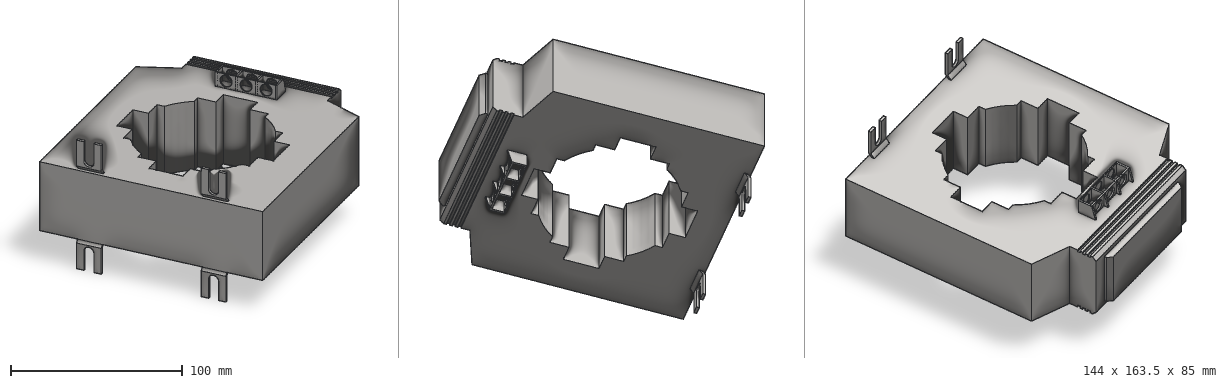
import cadquery as cq

total_width = 144.0
total_length = 163.5
total_height = 85.0

body_thickness = 45.5
half_thickness = body_thickness / 2
shoulder_start = 130.5
shoulder_end = 140.5
neck_width = 94.0
neck_end = 159.0

neck_chamfer = 2.4
groove_count = 3
groove_width = 1.8
groove_depth = 1.2
groove_pitch = 3.55
first_groove_offset = 4.15

cap_width = 76.5
cap_thickness = 35.0
cap_chamfer_x = 2.7
cap_chamfer_y = 3.0

bore_center_y = 70.5
bore_diameter = 85.0
arm_length = 101.0
arm_width = 22.0
step_length = 81.0
step_width = 45.5

terminal_width = 40.0
terminal_height = 9.5
terminal_front = 128.5
terminal_rear_top = 137.8
terminal_rear_base = shoulder_end
terminal_hole_diameter = 7.5
pole_count = 3
side_wall = 1.2
front_wall = 0.7
rear_wall = 1.2
pole_pitch = (terminal_width - side_wall) / pole_count
pocket_width = pole_pitch - side_wall

foot_spacing = 80.5
foot_width = 16.0
foot_thickness = 1.8
foot_bend_height = 2.7
foot_bend_offset = 2.4
foot_height = total_height / 2 - half_thickness
slot_width = 6.5
slot_depth = 15.9


def box_between(x_range, y_range, z_range):
    """Box spanning the given (low, high) pairs."""
    size = [high - low for low, high in (x_range, y_range, z_range)]
    corner = (x_range[0], y_range[0], z_range[0])
    return cq.Workplane("XY").box(*size, centered=False).translate(corner)


def prism_along_x(points, width, center_x=0.0):
    """Extrude a (Y, Z) outline symmetrically about X = center_x."""
    prism = cq.Workplane("YZ").polyline(points).close().extrude(width / 2, both=True)
    return prism.translate((center_x, 0, 0))


def make_body():
    """Shouldered plate carrying the narrower neck."""
    half_width = total_width / 2
    half_neck = neck_width / 2
    outline = [
        (-half_width, 0),
        (half_width, 0),
        (half_width, shoulder_start),
        (half_neck, shoulder_end),
        (half_neck, neck_end),
        (-half_neck, neck_end),
        (-half_neck, shoulder_end),
        (-half_width, shoulder_start),
    ]
    plate = cq.Workplane("XY").polyline(outline).close().extrude(half_thickness, both=True)
    return plate.faces(">Y").edges("|X").chamfer(neck_chamfer)


def make_grooves():
    """Grip grooves across the top and bottom of the neck."""
    grooves = cq.Workplane("XY")
    groove_center_z = half_thickness - groove_depth / 2
    for index in range(groove_count):
        center_y = neck_end - first_groove_offset - groove_width / 2 - index * groove_pitch
        for side in (1, -1):
            groove = cq.Workplane("XY").box(neck_width, groove_width, groove_depth)
            grooves = grooves.add(groove.translate((0, center_y, side * groove_center_z)))
    return grooves.combine()


def make_cap():
    """Raised cap with bevelled ends."""
    half_cap = cap_width / 2
    outline = [
        (-half_cap, neck_end),
        (half_cap, neck_end),
        (half_cap, total_length - cap_chamfer_y),
        (half_cap - cap_chamfer_x, total_length),
        (-half_cap + cap_chamfer_x, total_length),
        (-half_cap, total_length - cap_chamfer_y),
    ]
    return cq.Workplane("XY").polyline(outline).close().extrude(cap_thickness / 2, both=True)


def make_bore():
    """Round bore, flattened on four sides, merged with crossed busbar openings."""
    bore = cq.Workplane("XY").circle(bore_diameter / 2).extrude(half_thickness, both=True)
    bore = bore.intersect(cq.Workplane("XY").box(step_length, step_length, body_thickness))
    for length, width in ((arm_length, arm_width), (step_length, step_width)):
        bore = bore.union(cq.Workplane("XY").box(length, width, body_thickness))
        bore = bore.union(cq.Workplane("XY").box(width, length, body_thickness))
    return bore.translate((0, bore_center_y, 0))


def make_terminal():
    """Upper three-pole terminal block standing on the body."""
    base = half_thickness
    top = base + terminal_height
    outline = [
        (terminal_front, base),
        (terminal_rear_base, base),
        (terminal_rear_top, top),
        (terminal_front, top),
    ]
    block = prism_along_x(outline, terminal_width)
    wall_inside = terminal_rear_top - rear_wall
    hole_z = base + terminal_height / 2
    block_length = terminal_rear_base - terminal_front
    for index in range(pole_count):
        center_x = (index - (pole_count - 1) / 2) * pole_pitch
        x_range = (center_x - pocket_width / 2, center_x + pocket_width / 2)
        pocket = box_between(x_range, (terminal_front + front_wall, wall_inside), (base, top))
        rear_bay = box_between(x_range, (terminal_rear_top, terminal_rear_base), (base, top))
        hole = (
            cq.Workplane("XZ", origin=(center_x, terminal_front, hole_z))
            .circle(terminal_hole_diameter / 2)
            .extrude(-block_length)
        )
        block = block.cut(pocket).cut(rear_bay).cut(hole)
    return block


def make_foot(center_x):
    """Upper bent foot with an open-ended fixing slot."""
    base = half_thickness
    bend = base + foot_bend_height
    top = base + foot_height
    outline = [
        (foot_bend_offset, base),
        (0, bend),
        (0, top),
        (foot_thickness, top),
        (foot_thickness, bend),
        (foot_bend_offset + foot_thickness, base),
    ]
    foot = prism_along_x(outline, foot_width, center_x)
    slot_radius = slot_width / 2
    arc_bottom = top - slot_depth
    slot = (
        cq.Workplane("XZ")
        .moveTo(center_x - slot_radius, top)
        .lineTo(center_x - slot_radius, arc_bottom + slot_radius)
        .threePointArc((center_x, arc_bottom), (center_x + slot_radius, arc_bottom + slot_radius))
        .lineTo(center_x + slot_radius, top)
        .close()
        .extrude(-foot_thickness)
    )
    return foot.cut(slot)


result = make_body().cut(make_grooves()).union(make_cap()).cut(make_bore())

fittings = [make_terminal(), make_foot(-foot_spacing / 2), make_foot(foot_spacing / 2)]
for fitting in fittings:
    result = result.union(fitting).union(fitting.mirror("XY"))